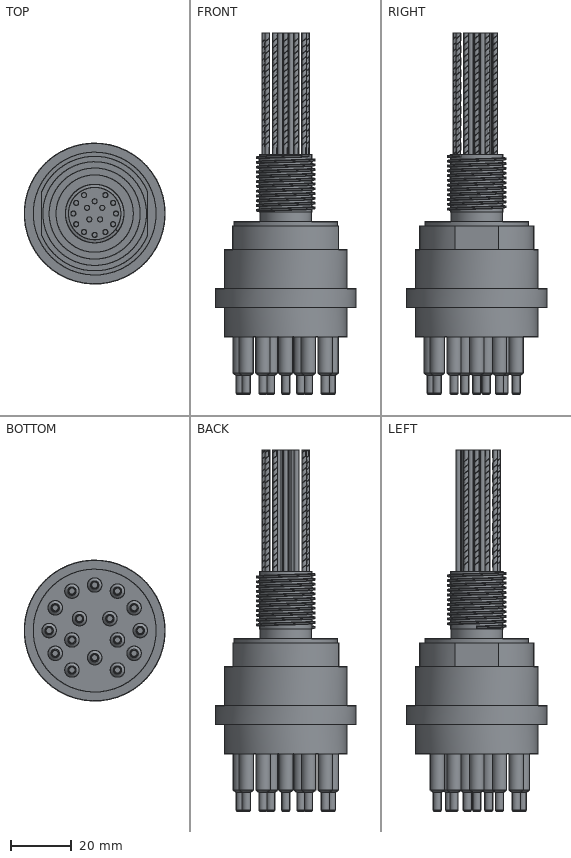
import cadquery as cq
import math

tip_end = 6.2
shoulder_start = 7.0
body_bottom = 19.0
flange_bottom = 28.6
flange_top = 34.8
body_top = 47.7
collar_top = 55.5
lip_top = 57.0
thread_bottom = 60.2
thread_top = 79.1
wire_top = 119.2

body_diameter = 40.5
flange_diameter = 46.5
collar_diameter = 37.8
collar_flats = 34.9
lip_diameter = 34.2
groove_outer = 30.0
groove_inner = 25.5
groove_depth = 1.5
neck_diameter = 17.0

thread_diameter = 19.3
thread_root_diameter = 17.3
thread_length = thread_top - thread_bottom
thread_turns = 12
thread_pitch = thread_length / thread_turns
ridge_root_width = 1.0
ridge_crest_width = 0.5
ridge_start_angle = 180
ridge_overlap = 0.2

pin_diameter = 4.8
tip_diameter = 2.7
tip_chamfer = 0.4
pin_ring_radius = 15.0
inner_pins = [(0, 8.9), (7.5, 3.1), (-7.5, 3.1), (5.0, -3.9), (-5.0, -3.9)]

wire_diameter = 1.7
wire_ring_radius = 7.0
inner_wires = [(0, 4.0), (2.5, 1.9), (-2.5, 1.9), (1.8, -1.9), (-1.8, -1.9)]
wire_length = wire_top - thread_top
wrap_depth = 0.04
wrap_overlap = 0.06
wrap_turns = 10
wrap_pitch = wire_length / wrap_turns
wrap_width = wrap_pitch / 2
wrap_end_gap = 0.06
wrap_start_angle = -50

ring_step = 30
empty_angle = 90
plain_wire_angle = 120


def polar(radius, angle):
    turn = math.radians(angle)
    return (radius * math.cos(turn), radius * math.sin(turn))


def cylinder(diameter, bottom, top):
    return cq.Workplane("XY").workplane(offset=bottom).circle(diameter / 2).extrude(top - bottom)


def copies(shape, places):
    return [shape.translate((x, y, 0)).val() for x, y in places]


def make_housing():
    """Flanged body, collar with two flats, and a lip with a ring groove in its top."""
    flats = cq.Workplane("XY").box(collar_flats, flange_diameter, 2 * wire_top)
    collar = cylinder(collar_diameter, body_top, collar_top).intersect(flats)
    groove = (
        cq.Workplane("XY")
        .workplane(offset=lip_top - groove_depth)
        .circle(groove_outer / 2)
        .circle(groove_inner / 2)
        .extrude(groove_depth)
    )
    return (
        cylinder(body_diameter, body_bottom, body_top)
        .union(cylinder(flange_diameter, flange_bottom, flange_top))
        .union(collar)
        .union(cylinder(lip_diameter, collar_top, lip_top))
        .cut(groove)
    )


def make_threaded_neck():
    """Neck, and above it a right-hand thread ridge wound on a slightly thicker core."""
    root_radius = thread_root_diameter / 2
    crest_radius = thread_diameter / 2
    inside = root_radius - ridge_overlap
    path = cq.Wire.makeHelix(thread_pitch, thread_length - ridge_root_width, root_radius)
    ridge = (
        cq.Workplane("XZ")
        .polyline([
            (inside, -ridge_root_width / 2),
            (crest_radius, -ridge_crest_width / 2),
            (crest_radius, ridge_crest_width / 2),
            (inside, ridge_root_width / 2),
        ])
        .close()
        .sweep(cq.Workplane(obj=path), isFrenet=True)
        .rotate((0, 0, 0), (0, 0, 1), ridge_start_angle)
        .translate((0, 0, thread_bottom + ridge_root_width / 2))
    )
    neck = cylinder(neck_diameter, lip_top, thread_bottom)
    core = cylinder(thread_root_diameter, thread_bottom, thread_top)
    return neck.union(core).union(ridge)


def make_pin():
    """Stepped pin with a conical shoulder and a chamfered tip."""
    return (
        cq.Workplane("XZ")
        .polyline([
            (0, 0),
            (tip_diameter / 2 - tip_chamfer, 0),
            (tip_diameter / 2, tip_chamfer),
            (tip_diameter / 2, tip_end),
            (pin_diameter / 2, shoulder_start),
            (pin_diameter / 2, body_bottom),
            (0, body_bottom),
        ])
        .close()
        .revolve(360, (0, 0, 0), (0, 1, 0))
    )


def make_wrapped_wire():
    """Wire with a thin band wound around it, as wide as the gap between its turns."""
    core_radius = wire_diameter / 2 - wrap_depth
    inside = core_radius - wrap_overlap
    outside = wire_diameter / 2
    path = cq.Wire.makeHelix(wrap_pitch, wire_length - wrap_width - 2 * wrap_end_gap, core_radius)
    band = (
        cq.Workplane("XZ")
        .polyline([(inside, 0), (outside, 0), (outside, wrap_width), (inside, wrap_width)])
        .close()
        .sweep(cq.Workplane(obj=path), isFrenet=True)
        .rotate((0, 0, 0), (0, 0, 1), wrap_start_angle)
        .translate((0, 0, thread_top + wrap_end_gap))
    )
    return cylinder(2 * core_radius, thread_top, wire_top).union(band)


ring_angles = [angle for angle in range(0, 360, ring_step) if angle != empty_angle]
pin_places = inner_pins + [polar(pin_ring_radius, angle) for angle in ring_angles]
plain_wire_places = inner_wires + [polar(wire_ring_radius, plain_wire_angle)]
wrapped_wire_places = [
    polar(wire_ring_radius, angle) for angle in ring_angles if angle != plain_wire_angle
]

pins = copies(make_pin(), pin_places)
plain_wires = copies(cylinder(wire_diameter, thread_top, wire_top), plain_wire_places)
wrapped_wires = copies(make_wrapped_wire(), wrapped_wire_places)

housing = make_housing().union(make_threaded_neck()).val()
result = cq.Workplane(housing.fuse(*pins, *plain_wires, *wrapped_wires))